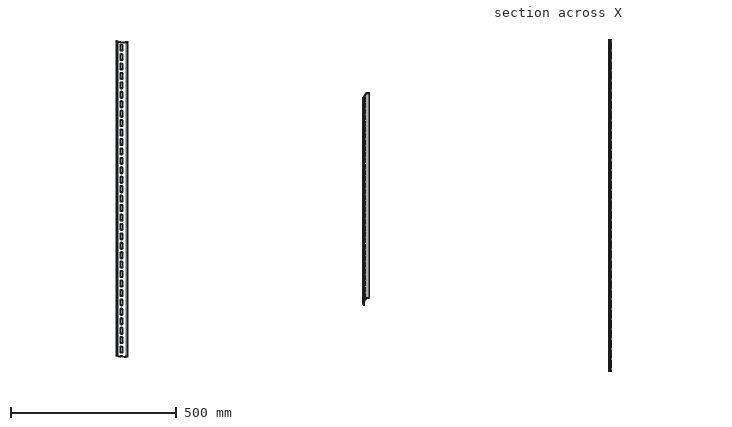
import cadquery as cq

rail_width = 35.0
rail_height = 7.5
rail_length = 1000.0
channel_width = 27.0
thickness = 1.0
inner_radius = 0.8
outer_radius = inner_radius + thickness

slot_length = 20.0
slot_width = 6.5
slot_pitch = 30.0
slot_count = 34
top_slot_centre = rail_length - 17.5

half_width = rail_width / 2
half_channel = channel_width / 2
half_opening = half_channel - thickness
lip_underside = rail_height - thickness


def round_bends(rail, bends, radius):
    """Round the lengthwise edge at each bend and at its mirror image."""
    for x, y in bends:
        for side in (-1, 1):
            corner = cq.selectors.NearestToPointSelector((side * x, y, rail_length / 2))
            rail = rail.edges("|Z").edges(corner).fillet(radius)
    return rail


def make_rail():
    """Sheet-metal channel with an outward lip on each side, web at Y = 0."""
    outline = [
        (-half_width, rail_height),
        (-half_width, lip_underside),
        (-half_channel, lip_underside),
        (-half_channel, 0),
        (half_channel, 0),
        (half_channel, lip_underside),
        (half_width, lip_underside),
        (half_width, rail_height),
        (half_opening, rail_height),
        (half_opening, thickness),
        (-half_opening, thickness),
        (-half_opening, rail_height),
    ]
    rail = cq.Workplane("XY").polyline(outline).close().extrude(rail_length)
    concave_bends = [(half_channel, lip_underside), (half_opening, thickness)]
    convex_bends = [(half_opening, rail_height), (half_channel, 0)]
    rail = round_bends(rail, concave_bends, inner_radius)
    return round_bends(rail, convex_bends, outer_radius)


def make_slots():
    """Round-ended cutters through the web, long side along the rail."""
    centres = [(0, top_slot_centre - i * slot_pitch) for i in range(slot_count)]
    slots = cq.Workplane("XZ").pushPoints(centres).slot2D(slot_length, slot_width, angle=90)
    return slots.extrude(-thickness)


result = make_rail().cut(make_slots())